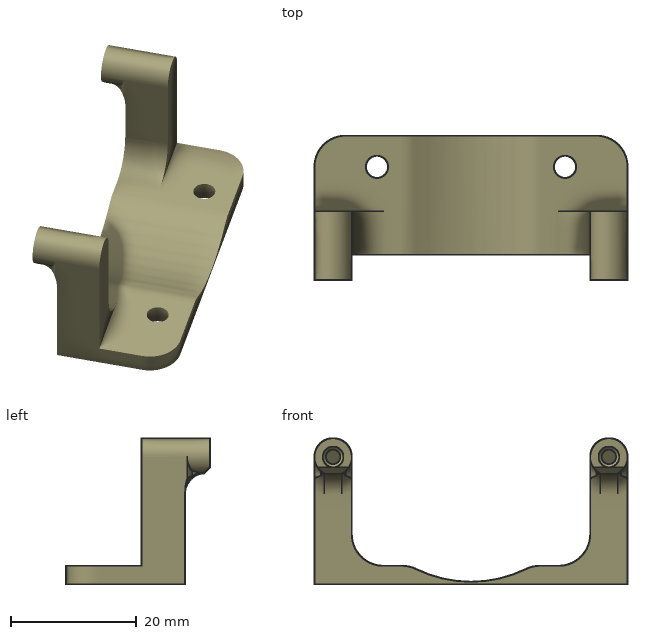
import cadquery as cq
import math

length = 49.85
height = 23.3
plate_depth = 19.0
plate_thickness = 3.0
plate_corner_radius = 5.0

trough_radius = 19.95
trough_floor = 0.45
trough_blend_radius = 5.0

arm_width = 6.0
arm_depth = 7.0
arm_fillet_radius = 5.0
boss_radius = arm_width / 2
boss_height = height - boss_radius
arm_x = length / 2 - boss_radius
boss_overhang = 4.0
boss_flat_drop = 2.65
boss_chamfer = 1.0
boss_fillet_radius = boss_overhang - boss_chamfer
blend_waist_x = 2.0
blend_waist_reach = 1.15
blend_side_reach = 0.3

socket_diameter = 2.3
socket_depth = 6.0
socket_countersink = 0.5

mount_hole_diameter = 3.5
mount_hole_inset_x = 9.95
mount_hole_inset_y = 5.0


def make_plate():
    """Base plate with rounded rear corners and two mounting holes."""
    plate = (
        cq.Workplane("XY")
        .box(length, plate_depth, plate_thickness, centered=(True, False, False))
        .edges("|Z and >Y")
        .fillet(plate_corner_radius)
    )
    hole_x = length / 2 - mount_hole_inset_x
    hole_y = plate_depth - mount_hole_inset_y
    holes = (
        cq.Workplane("XY")
        .pushPoints([(-hole_x, hole_y), (hole_x, hole_y)])
        .circle(mount_hole_diameter / 2)
        .extrude(plate_thickness)
    )
    return plate.cut(holes)


def make_trough():
    """Cutter for the trough: a concave arc tangent to a convex blend on each side."""
    centre_distance = trough_radius + trough_blend_radius
    trough_centre_z = trough_floor + trough_radius
    blend_centre_z = plate_thickness - trough_blend_radius
    half_width = math.sqrt(centre_distance**2 - (trough_centre_z - blend_centre_z) ** 2)
    joint_x = half_width * trough_radius / centre_distance
    joint_z = trough_centre_z + (blend_centre_z - trough_centre_z) * trough_radius / centre_distance
    half_angle = math.asin(half_width / centre_distance) / 2
    middle_x = half_width - trough_blend_radius * math.sin(half_angle)
    middle_z = blend_centre_z + trough_blend_radius * math.cos(half_angle)
    return (
        cq.Workplane("XZ")
        .moveTo(-half_width, plate_thickness)
        .threePointArc((-middle_x, middle_z), (-joint_x, joint_z))
        .threePointArc((0, trough_floor), (joint_x, joint_z))
        .threePointArc((middle_x, middle_z), (half_width, plate_thickness))
        .close()
        .extrude(-plate_depth)
    )


def make_boss():
    """Overhanging boss at X = 0 with a flat underside and a chamfered lower front edge."""
    flat_z = boss_height - boss_flat_drop
    boss = (
        cq.Workplane("XZ", origin=(0, arm_depth, boss_height))
        .circle(boss_radius)
        .extrude(arm_depth + boss_overhang)
    )
    below_flat = (
        cq.Workplane("YZ")
        .moveTo(0, 0)
        .lineTo(0, flat_z)
        .lineTo(boss_chamfer - boss_overhang, flat_z)
        .lineTo(-boss_overhang, flat_z + boss_chamfer)
        .lineTo(-boss_overhang, 0)
        .close()
        .extrude(boss_radius, both=True)
    )
    return boss.cut(below_flat)


def blend_profile(plane, start, contact):
    """Concave quarter-arc profile; start is its inner side, contact where the arc leaves the boss."""
    bend = boss_fillet_radius * (1 - math.sqrt(0.5))
    return (
        cq.Workplane(plane)
        .moveTo(start, 0)
        .lineTo(contact + boss_fillet_radius, 0)
        .threePointArc((contact + bend, -bend), (contact, -boss_fillet_radius))
        .lineTo(start, -boss_fillet_radius)
        .close()
    )


def make_boss_blend():
    """Fillet between boss and front face: straight below the flat, tapering around its sides."""
    flat_half_width = math.sqrt(boss_radius**2 - boss_flat_drop**2)
    blend_reach = boss_radius + boss_fillet_radius
    flat_overlap = boss_flat_drop / 2
    ring = blend_profile("XY", flat_overlap, boss_radius).revolve(360, (0, 0), (0, 1))
    side_window = (
        cq.Workplane("XY")
        .moveTo(flat_half_width, 0)
        .lineTo(flat_half_width, -boss_fillet_radius)
        .lineTo(blend_waist_x, -blend_waist_reach)
        .lineTo(boss_radius, -blend_side_reach)
        .lineTo(boss_radius, 0)
        .close()
        .extrude(-blend_reach)
    )
    side = ring.intersect(side_window)
    middle = (
        blend_profile("XY", flat_overlap, boss_flat_drop)
        .extrude(flat_half_width, both=True)
        .rotate((0, 0, 0), (0, 1, 0), 90)
    )
    blend = middle.union(side).union(side.mirror("YZ"))
    return blend.translate((0, 0, boss_height))


def make_arm():
    """Upright with its boss at X = 0, the boss blended into the front face."""
    arm = cq.Workplane("XY").box(arm_width, arm_depth, boss_height, centered=(True, False, False))
    arm = arm.union(make_boss()).union(make_boss_blend())
    socket = (
        cq.Workplane("YX", origin=(0, -boss_overhang, boss_height))
        .lineTo(0, socket_diameter / 2 + socket_countersink)
        .lineTo(socket_countersink, socket_diameter / 2)
        .lineTo(socket_depth, socket_diameter / 2)
        .lineTo(socket_depth, 0)
        .close()
        .revolve(360, (0, 0), (1, 0))
    )
    return arm.cut(socket)


def make_arm_fillet():
    """Concave web between the inner face of the right arm and the plate."""
    inner_x = length / 2 - arm_width
    bend = arm_fillet_radius * (1 - math.sqrt(0.5))
    return (
        cq.Workplane("XZ")
        .moveTo(inner_x, plate_thickness)
        .lineTo(inner_x, plate_thickness + arm_fillet_radius)
        .threePointArc(
            (inner_x - bend, plate_thickness + bend),
            (inner_x - arm_fillet_radius, plate_thickness),
        )
        .close()
        .extrude(-arm_depth)
    )


arm = make_arm()
web = make_arm_fillet()
result = make_plate().cut(make_trough())
for side in (-1, 1):
    result = result.union(arm.translate((side * arm_x, 0, 0)))
result = result.union(web).union(web.mirror("YZ"))